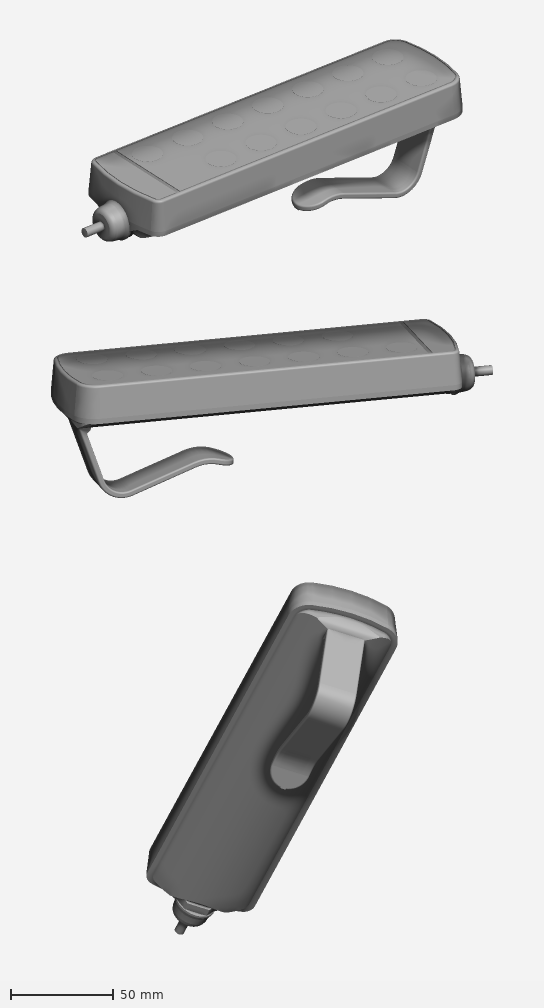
import cadquery as cq
import math


half_width = 28.5
back_y = 101.2
front_y = -101.4
back_bow_radius = 84.3
front_bow_radius = 97.5
back_corner_radius = 11.0
front_corner_radius = 6.0
rim_height = 2.7
top_z = 19.3
wall_draft = 5.0
top_fillet = 1.3

belly_inset = 3.0
belly_depth = 8.9
belly_half_width = half_width - belly_inset
belly_back_length = 9.5
belly_front_length = 4.0

recess_inset = 3.0
panel_inset = 3.65
recess_depth = 0.5
strip_center_y = -81.9
strip_width = 2.2

button_radius = 7.65
button_height = 0.1
button_pitch = 25.0
button_x = 13.0
button_rows = 7
first_button_y = 79.6

gland_z = -1.3
collar_half_width = 15.8
collar_shoulder = (10.9, -2.7)
collar_bottom = (5.8, -9.5)
collar_length = 5.5
gland_root_y = -99.8
gland_flare_radius = 10.5
gland_flare_start_y = -101.0
gland_flare_end_y = -103.0
gland_base_radius = 9.5
gland_body_radius = 9.0
gland_shoulder_y = -107.0
gland_step_radius = 8.7
gland_step_y = -108.3
gland_tip_radius = 6.7
gland_front_y = -110.3
cable_radius = 2.5
overall_length = 221.8
cable_end_y = back_y - overall_length

clip_width = 20.0
clip_thickness = 3.0
clip_angle = 19.5
lip_angle = 16.0
clip_corner = (77.6, -48.0)
lip_corner_y = 27.7
lip_length = 16.6
foot_size = 2.0
clip_bend_radius = 12.2
lip_bend_radius = 20.0
clip_root_z = -3.3
clip_edge_fillet = 0.9


def outline(inset, height, base_z, draft=0.0):
    """Prism over the housing outline, moved inwards by `inset`."""
    half = half_width - inset
    back_bow = back_bow_radius - inset
    front_bow = front_bow_radius - inset
    back = back_y - inset
    front = front_y + inset
    back_side = back - back_bow + math.sqrt(back_bow**2 - half**2)
    front_side = front + front_bow - math.sqrt(front_bow**2 - half**2)
    sketch = (
        cq.Sketch()
        .segment((-half, front_side), (-half, back_side))
        .arc((-half, back_side), (0, back), (half, back_side))
        .segment((half, back_side), (half, front_side))
        .arc((half, front_side), (0, front), (-half, front_side))
        .assemble()
        .vertices(">Y")
        .fillet(back_corner_radius - inset)
        .reset()
        .vertices("<Y")
        .fillet(front_corner_radius - inset)
        .reset()
    )
    return cq.Workplane("XY").workplane(offset=base_z).placeSketch(sketch).extrude(height, taper=draft)


def make_housing():
    """Upright rim with a drafted shell above it, rounded along the top edge."""
    rim = outline(0, rim_height, 0)
    shell = outline(0, top_z - rim_height, rim_height, wall_draft)
    shell = shell.faces(">Z").edges().fillet(top_fillet)
    return rim.union(shell)


def make_belly():
    """Bulged underside: bowed across the width and rounded off at both ends."""
    overlap = rim_height / 2
    plan = outline(belly_inset, belly_depth + overlap, -belly_depth)
    back = back_y - belly_inset
    front = front_y + belly_inset
    bow = (
        cq.Workplane("XZ", origin=(0, back_y, 0))
        .moveTo(-belly_half_width, overlap)
        .lineTo(-belly_half_width, 0)
        .threePointArc((0, -belly_depth), (belly_half_width, 0))
        .lineTo(belly_half_width, overlap)
        .close()
        .extrude(back_y - front_y)
    )
    diagonal = math.sqrt(0.5)
    side = (
        cq.Workplane("YZ", origin=(-half_width, 0, 0))
        .moveTo(back, overlap)
        .lineTo(back, 0)
        .threePointArc(
            (back - belly_back_length * (1 - diagonal), -belly_depth * diagonal),
            (back - belly_back_length, -belly_depth),
        )
        .lineTo(front + belly_front_length, -belly_depth)
        .threePointArc(
            (front + belly_front_length * (1 - diagonal), -belly_depth * diagonal),
            (front, 0),
        )
        .lineTo(front, overlap)
        .close()
        .extrude(2 * half_width)
    )
    return plan.intersect(bow).intersect(side)


def panel_groove():
    """Shallow groove around the two top panels, with a strip between them."""
    groove_z = top_z - recess_depth
    recess = outline(recess_inset, recess_depth, groove_z)
    panels = outline(panel_inset, recess_depth, groove_z)
    strip = cq.Workplane("XY").box(2 * half_width, strip_width, 4 * recess_depth)
    panels = panels.cut(strip.translate((0, strip_center_y, top_z)))
    return recess.cut(panels)


def make_buttons():
    """Two columns of buttons; the right column is one button shorter."""
    left = [(-button_x, first_button_y - row * button_pitch) for row in range(button_rows)]
    right = [(button_x, first_button_y - row * button_pitch) for row in range(button_rows - 1)]
    return (
        cq.Workplane("XY")
        .workplane(offset=top_z - recess_depth)
        .pushPoints(left + right)
        .circle(button_radius)
        .extrude(recess_depth + button_height)
    )


def make_collar():
    """Local drop of the front wall that carries the cable gland."""
    right_side = [collar_bottom, collar_shoulder, (collar_half_width, 0)]
    left_side = [(-x, z) for x, z in reversed(right_side)]
    profile = (
        cq.Workplane("XZ", origin=(0, front_y + collar_length, 0))
        .polyline(left_side + right_side)
        .close()
        .extrude(collar_length)
    )
    depth = -collar_bottom[1]
    return profile.intersect(outline(0, depth, -depth))


def make_gland():
    """Cable gland and cable, turned around an axis along Y."""
    return (
        cq.Workplane("XY", origin=(0, 0, gland_z))
        .moveTo(0, gland_root_y)
        .lineTo(gland_flare_radius, gland_root_y)
        .lineTo(gland_flare_radius, gland_flare_start_y)
        .lineTo(gland_base_radius, gland_flare_end_y)
        .lineTo(gland_body_radius, gland_shoulder_y)
        .lineTo(gland_step_radius, gland_step_y)
        .tangentArcPoint((gland_tip_radius, gland_front_y), relative=False)
        .lineTo(cable_radius, gland_front_y)
        .lineTo(cable_radius, cable_end_y)
        .lineTo(0, cable_end_y)
        .close()
        .revolve(360, (0, 0, 0), (0, 1, 0))
    )


def clip_path():
    """Centre line of the clip in the YZ plane: root, main bend, lip bend and tip."""
    arm_slope = math.tan(math.radians(clip_angle))
    lip = math.radians(lip_angle)
    corner_y, corner_z = clip_corner
    root_y = corner_y + (clip_root_z - corner_z) * arm_slope
    lip_corner_z = corner_z + (corner_y - lip_corner_y) * arm_slope
    tip_y = lip_corner_y - lip_length * math.cos(lip)
    tip_z = lip_corner_z - lip_length * math.sin(lip)
    return [(root_y, clip_root_z), clip_corner, (lip_corner_y, lip_corner_z), (tip_y, tip_z)]


def offset_path(path, distance):
    """Open path moved to the left of its direction by `distance`, with mitred corners."""
    headings = [
        math.atan2(z1 - z0, y1 - y0) % (2 * math.pi) for (y0, z0), (y1, z1) in zip(path, path[1:])
    ]
    headings_in = [headings[0], *headings]
    headings_out = [*headings, headings[-1]]
    moved = []
    for (y, z), before, after in zip(path, headings_in, headings_out):
        normal = (before + after) / 2 + math.pi / 2
        reach = distance / math.cos((after - before) / 2)
        moved.append((y + reach * math.cos(normal), z + reach * math.sin(normal)))
    return moved


def round_bend(strip, inner_corner, outer_corner, radius):
    """Round both faces of a sharp bend about one centre; `radius` is that of the centre line."""
    for corner, size in (
        (inner_corner, radius - clip_thickness / 2),
        (outer_corner, radius + clip_thickness / 2),
    ):
        nearest = cq.selectors.NearestToPointSelector((0, *corner))
        strip = strip.edges("|X").edges(nearest).fillet(size)
    return strip


def make_clip():
    """Bent strip with rounded edges and a semicircular lip end."""
    path = clip_path()
    left = offset_path(path, clip_thickness / 2)
    right = offset_path(path, -clip_thickness / 2)
    strip = (
        cq.Workplane("YZ", origin=(-clip_width / 2, 0, 0))
        .polyline(left + right[::-1])
        .close()
        .extrude(clip_width)
    )
    strip = round_bend(strip, right[1], left[1], clip_bend_radius)
    strip = round_bend(strip, left[2], right[2], lip_bend_radius)

    tip_y = path[-1][0]
    half_clip = clip_width / 2
    plan = (
        cq.Workplane("XY")
        .moveTo(-half_clip, back_y)
        .lineTo(-half_clip, tip_y + half_clip)
        .threePointArc((0, tip_y), (half_clip, tip_y + half_clip))
        .lineTo(half_clip, back_y)
        .close()
        .extrude(2 * clip_corner[1])
    )
    return strip.intersect(plan).faces("<X or >X").edges().fillet(clip_edge_fillet)


def make_clip_foot():
    """Small gusset in the corner between the clip and the underside of the belly."""
    slope = math.tan(math.radians(clip_angle))
    corner_y, corner_z = clip_corner
    foot_z = -belly_depth - foot_size
    clip_y = corner_y + (foot_z - corner_z) * slope
    foot_front_y = clip_y - clip_thickness / 2 - foot_size
    return (
        cq.Workplane("YZ", origin=(-clip_width / 2, 0, 0))
        .moveTo(clip_y, clip_root_z)
        .lineTo(foot_front_y, clip_root_z)
        .lineTo(foot_front_y, -belly_depth)
        .lineTo(clip_y - clip_thickness / 2, foot_z)
        .lineTo(clip_y, foot_z)
        .close()
        .extrude(clip_width)
    )


result = (
    make_housing()
    .cut(panel_groove())
    .union(make_belly())
    .union(make_collar())
    .union(make_buttons())
    .union(make_gland())
    .union(make_clip())
    .union(make_clip_foot())
)